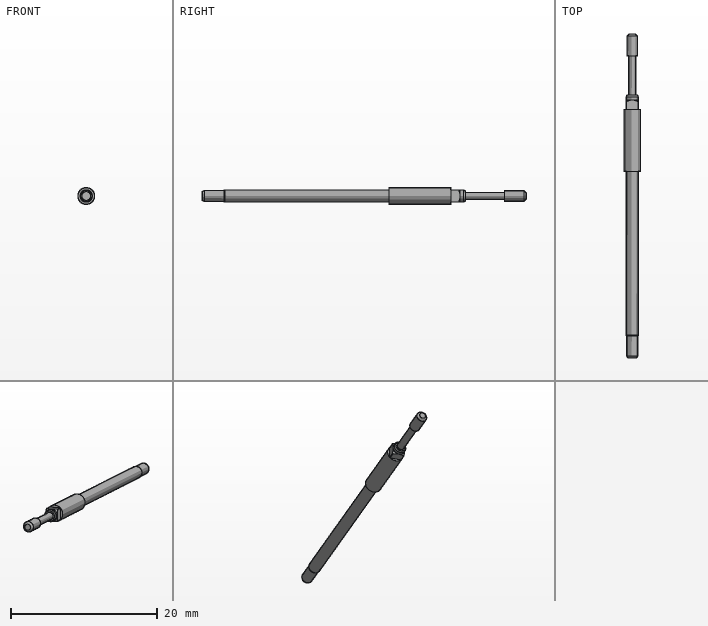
import cadquery as cq

total_length = 44.3
cap_length = 3.0
stem_length = 5.3
collar_length = 0.7
neck_length = 1.3
sleeve_length = 8.45
tail_length = 3.0

cap_diameter = 1.45
stem_diameter = 1.0
barrel_diameter = 1.7
collar_diameter = barrel_diameter
neck_width = barrel_diameter
sleeve_diameter = 2.3
tail_diameter = 1.55

cap_chamfer = 0.3
collar_chamfer_length = 0.25
collar_chamfer_depth = 0.15
neck_chamfer_length = 0.2
neck_chamfer_depth = (sleeve_diameter - collar_diameter) / 2
barrel_chamfer_length = 0.15
barrel_chamfer_depth = 0.05
tail_chamfer_length = 0.3
tail_chamfer_depth = 0.18

tip_y = total_length / 2
cap_base_y = tip_y - cap_length
collar_top_y = cap_base_y - stem_length
neck_top_y = collar_top_y - collar_length
sleeve_top_y = neck_top_y - neck_length
sleeve_base_y = sleeve_top_y - sleeve_length
tail_end_y = -total_length / 2
tail_top_y = tail_end_y + tail_length


def section_plane(y):
    """Sketch plane across the pin axis; its normal points toward -Y."""
    return cq.Workplane("XZ", origin=(0, y, 0))


def cylinder(diameter, base_y, top_y):
    """Round bar along Y from base_y up to top_y."""
    return section_plane(top_y).circle(diameter / 2).extrude(top_y - base_y)


def turned_bar(diameter, plain_y, coned_y, cone_length, cone_depth):
    """Round bar along Y from its plain end to the end whose rim is turned to a cone."""
    radius = diameter / 2
    toward_plain_end = 1 if plain_y > coned_y else -1
    half_profile = [
        (0, plain_y),
        (radius, plain_y),
        (radius, coned_y + toward_plain_end * cone_length),
        (radius - cone_depth, coned_y),
        (0, coned_y),
    ]
    return cq.Workplane("XY").polyline(half_profile).close().revolve(360, (0, 0), (0, 1))


def square_neck():
    """Square whose corners are turned to the sleeve diameter and coned at the collar end."""
    square = section_plane(neck_top_y).rect(neck_width, neck_width).extrude(neck_length)
    envelope = turned_bar(
        sleeve_diameter, sleeve_top_y, neck_top_y, neck_chamfer_length, neck_chamfer_depth
    )
    return square.intersect(envelope)


cap = turned_bar(cap_diameter, cap_base_y, tip_y, cap_chamfer, cap_chamfer)
stem = cylinder(stem_diameter, collar_top_y, cap_base_y)
collar = turned_bar(
    collar_diameter, neck_top_y, collar_top_y, collar_chamfer_length, collar_chamfer_depth
)
sleeve = cylinder(sleeve_diameter, sleeve_base_y, sleeve_top_y)
barrel = turned_bar(
    barrel_diameter, sleeve_base_y, tail_top_y, barrel_chamfer_length, barrel_chamfer_depth
)
tail = turned_bar(tail_diameter, tail_top_y, tail_end_y, tail_chamfer_length, tail_chamfer_depth)

result = tail
for section in (barrel, sleeve, square_neck(), collar, stem, cap):
    result = result.union(section)